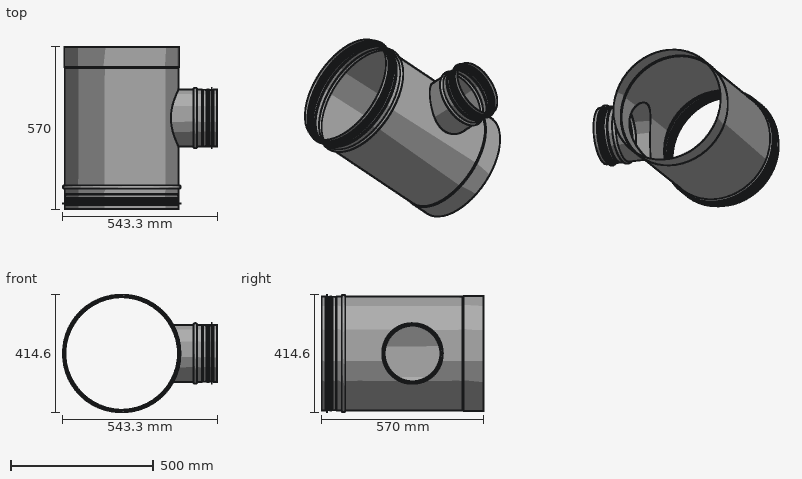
import cadquery as cq
import math


sheet = 1.0
main_radius = 401.6 / 2
main_length = 570.0
branch_radius = 201.6 / 2
branch_reach = 336.0
branch_y = 320.0

socket_length = 70.5
socket_taper = 4.0
socket_rise = 2.0

bead_height = 6.5
bead_width = 13.5
bead_center = 77.25
rear_groove = (54.0, 34.5)
front_groove = (30.0, 13.0)
groove_depth = 2.3
groove_wall_run = 4.5
groove_wall_tilt = math.atan2(groove_depth, groove_wall_run)

gasket_recess = 0.5
lip_height = bead_height
lip_start = 19.0
lip_thickness = 0.5

axis_start = (0, 0, 0)
axis_end = (0, 1, 0)


def pipe_envelope(radius, length, inset, has_socket):
    """Solid of revolution bounded by the pipe's outer face (inset 0) or inner face (inset = sheet)."""
    wall = radius - inset
    bead_half = bead_width / 2 - inset
    groove_shift = inset * math.tan(groove_wall_tilt / 2)

    profile = cq.Workplane("XY").moveTo(0, length)
    if has_socket:
        profile = profile.lineTo(wall + socket_rise, length)
        profile = profile.lineTo(wall + socket_rise, length - socket_length)
        profile = profile.lineTo(wall, length - socket_length - socket_taper)
    else:
        profile = profile.lineTo(wall, length)

    profile = profile.lineTo(wall, bead_center + bead_half)
    profile = profile.threePointArc((wall + bead_height, bead_center), (wall, bead_center - bead_half))

    for far, near in (rear_groove, front_groove):
        far_edge = far + groove_shift
        near_edge = near - groove_shift
        profile = profile.lineTo(wall, far_edge)
        profile = profile.lineTo(wall - groove_depth, far_edge - groove_wall_run)
        profile = profile.lineTo(wall - groove_depth, near_edge + groove_wall_run)
        profile = profile.lineTo(wall, near_edge)

    profile = profile.lineTo(wall, 0).lineTo(0, 0).close()
    return profile.revolve(360, axis_start, axis_end)


def gasket(radius, groove, has_lip):
    """Ring on the flat floor of a groove, with a thin sealing lip around it if asked for."""
    far, near = groove
    bottom = radius - groove_depth
    top = radius - gasket_recess
    far_face = far - groove_wall_run
    near_face = near + groove_wall_run

    profile = cq.Workplane("XY").moveTo(bottom, far_face).lineTo(top, far_face)
    if has_lip:
        lip_end = lip_start + lip_thickness
        profile = profile.lineTo(top, lip_end)
        profile = profile.lineTo(radius + lip_height, lip_end)
        profile = profile.lineTo(radius + lip_height, lip_start)
        profile = profile.lineTo(top, lip_start)
    profile = profile.lineTo(top, near_face).lineTo(bottom, near_face).close()
    return profile.revolve(360, axis_start, axis_end)


def gasket_pair(radius):
    return [gasket(radius, rear_groove, False), gasket(radius, front_groove, True)]


def place_on_branch(body):
    """Turn a body drawn along Y so that its open end faces +X at the end of the branch."""
    return body.rotate((0, 0, 0), (0, 0, 1), 90).translate((branch_reach, branch_y, 0))


branch_outer = place_on_branch(pipe_envelope(branch_radius, branch_reach, 0, False))
branch_inner = place_on_branch(pipe_envelope(branch_radius, branch_reach, sheet, False))

main_outer = pipe_envelope(main_radius, main_length, 0, True)
main_inner = pipe_envelope(main_radius, main_length, sheet, True)
main_pipe = main_outer.cut(main_inner).cut(branch_outer)

main_bore = cq.Workplane("XZ").circle(main_radius - sheet).extrude(-main_length)
branch_pipe = branch_outer.cut(branch_inner).cut(main_bore)

main_gaskets = gasket_pair(main_radius)
branch_gaskets = [place_on_branch(ring) for ring in gasket_pair(branch_radius)]

bodies = [main_pipe, branch_pipe, *main_gaskets, *branch_gaskets]
result = cq.Compound.makeCompound([body.solids().val() for body in bodies])